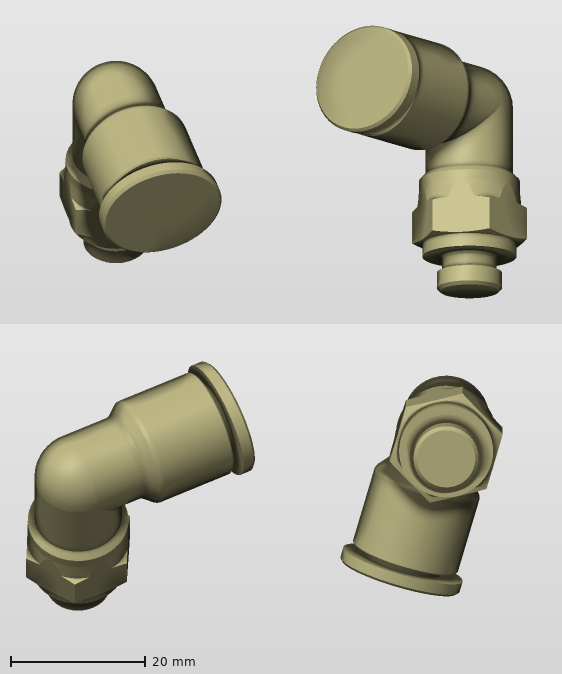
import cadquery as cq


ELBOW_R = 6.5
AXIS_Z = 27.95

THREAD_R = 4.85
THREAD_TIP_CHAMFER = 0.5
THREAD_TOP_Z = 2.85
NECK_R = 4.05
NECK_BOTTOM_Z = 3.25
NECK_TOP_Z = 4.8
NECK_FLARE_R = 4.25
COLLAR_R = 7.0
COLLAR_BOTTOM_Z = 5.3

HEX_FLATS = 15.0
HEX_CORNER_R = HEX_FLATS / 3**0.5
HEX_BOTTOM_Z = 7.25
HEX_BOTTOM_R = 7.3
HEX_LOWER_BEVEL_Z = 7.7
HEX_UPPER_BEVEL_Z = 12.45
SHOULDER_BASE_R = 7.75
SHOULDER_BASE_Z = 12.8

BAND_R = HEX_FLATS / 2
BAND_BOTTOM_Z = 15.4
BAND_BEVEL = BAND_R - ELBOW_R
BAND_TOP_Z = 17.9

SLEEVE_R = 8.15
SLEEVE_TAPER_START_X = 7.95
SLEEVE_TAPER_END_X = 9.95
SLEEVE_END_X = 21.9
SLEEVE_END_CHAMFER = 0.25
TAPER_BLEND_R = 1.0

RING_NECK_R = 5.85
RING_HALF_WIDTH = 9.25
RING_HALF_HEIGHT = 8.0
RING_START_X = 22.95
RING_END_X = 25.0
RING_CHAMFER = 0.4


def turned(points):
    """Revolve a closed (radius, height) outline about the Z axis."""
    return cq.Workplane("XZ").polyline(points).close().revolve(360, (0, 0, 0), (0, 1, 0))


def make_stem():
    """Thread, undercut neck and collar below the nut."""
    return turned([
        (0, 0),
        (THREAD_R - THREAD_TIP_CHAMFER, 0),
        (THREAD_R, THREAD_TIP_CHAMFER),
        (THREAD_R, THREAD_TOP_Z),
        (NECK_R, NECK_BOTTOM_Z),
        (NECK_R, NECK_TOP_Z),
        (NECK_FLARE_R, COLLAR_BOTTOM_Z),
        (COLLAR_R, COLLAR_BOTTOM_Z),
        (COLLAR_R, HEX_BOTTOM_Z),
        (0, HEX_BOTTOM_Z),
    ])


def make_nut():
    """Hexagon whose flats also trim the conical shoulder above it."""
    envelope = turned([
        (0, HEX_BOTTOM_Z),
        (HEX_BOTTOM_R, HEX_BOTTOM_Z),
        (HEX_CORNER_R, HEX_LOWER_BEVEL_Z),
        (HEX_CORNER_R, HEX_UPPER_BEVEL_Z),
        (SHOULDER_BASE_R, SHOULDER_BASE_Z),
        (BAND_R, BAND_BOTTOM_Z),
        (0, BAND_BOTTOM_Z),
    ])
    prism = (
        cq.Workplane("XY")
        .workplane(offset=HEX_BOTTOM_Z)
        .polygon(6, 2 * HEX_CORNER_R)
        .extrude(BAND_BOTTOM_Z - HEX_BOTTOM_Z)
    )
    return envelope.intersect(prism)


def make_band():
    """Round band with a bevel running in to the elbow."""
    return turned([
        (0, BAND_BOTTOM_Z),
        (BAND_R, BAND_BOTTOM_Z),
        (BAND_R, BAND_TOP_Z - BAND_BEVEL),
        (ELBOW_R, BAND_TOP_Z),
        (0, BAND_TOP_Z),
    ])


def make_elbow_leg():
    """Vertical leg of the elbow, ending in a ball at the corner."""
    leg = cq.Workplane("XY").workplane(offset=BAND_TOP_Z).circle(ELBOW_R).extrude(AXIS_Z - BAND_TOP_Z)
    ball = cq.Workplane("XY").sphere(ELBOW_R).translate((0, 0, AXIS_Z))
    return leg.union(ball)


def make_arm():
    """Horizontal leg of the elbow, tapering out to the tube sleeve."""
    tube = turned([
        (0, 0),
        (ELBOW_R, 0),
        (ELBOW_R, SLEEVE_TAPER_START_X),
        (SLEEVE_R, SLEEVE_TAPER_END_X),
        (SLEEVE_R, SLEEVE_END_X),
        (0, SLEEVE_END_X),
    ])
    tube = tube.faces(">Z").chamfer(SLEEVE_END_CHAMFER)
    taper_ends = cq.selectors.BoxSelector(
        (-2 * SLEEVE_R, -2 * SLEEVE_R, SLEEVE_TAPER_START_X - TAPER_BLEND_R),
        (2 * SLEEVE_R, 2 * SLEEVE_R, SLEEVE_TAPER_END_X + TAPER_BLEND_R),
        boundingbox=True,
    )
    tube = tube.edges(taper_ends).fillet(TAPER_BLEND_R)
    return tube.rotate((0, 0, 0), (0, 1, 0), 90).translate((0, 0, AXIS_Z))


def make_release_ring():
    """Oval ring, wider than it is high, joined to the sleeve by a round neck."""
    axis_plane = cq.Workplane("YZ", origin=(0, 0, AXIS_Z))
    neck = axis_plane.workplane(offset=SLEEVE_END_X).circle(RING_NECK_R).extrude(RING_START_X - SLEEVE_END_X)
    ring = (
        axis_plane.workplane(offset=RING_START_X)
        .ellipse(RING_HALF_WIDTH, RING_HALF_HEIGHT)
        .extrude(RING_END_X - RING_START_X)
        .faces(">X")
        .chamfer(RING_CHAMFER)
    )
    return neck.union(ring)


result = (
    make_stem()
    .union(make_nut())
    .union(make_band())
    .union(make_elbow_leg())
    .union(make_arm())
    .union(make_release_ring())
)